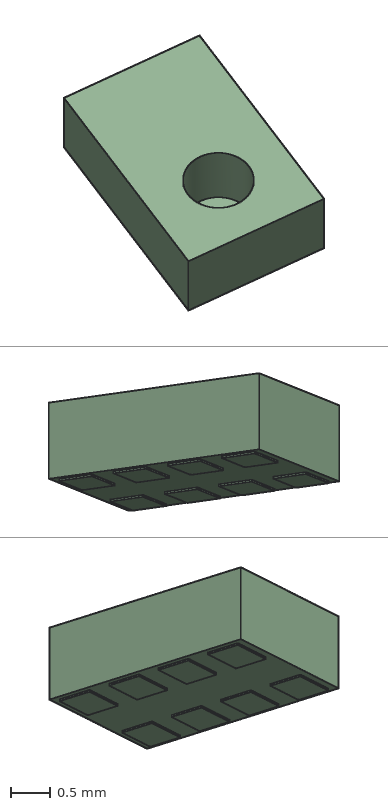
import cadquery as cq

length = 3.1
width = 2.0
body_height = 0.995

hole_diameter = 0.9
hole_offset_x = 0.608
hole_floor = 0.1
hole_depth = body_height - hole_floor

pad_length = 0.485
pad_width = 0.575
pad_thickness = 0.026
pads_per_row = 4
row_count = 2
pad_pitch = 0.8
row_spacing = 1.277


def make_body():
    """Block standing on Z = 0 with the blind hole in its top face."""
    return (
        cq.Workplane("XY")
        .box(length, width, body_height, centered=(True, True, False))
        .faces(">Z")
        .workplane()
        .center(hole_offset_x, 0)
        .hole(hole_diameter, hole_depth)
    )


def make_pads():
    """Thin rectangular pads hanging below Z = 0."""
    return (
        cq.Workplane("XY")
        .rarray(pad_pitch, row_spacing, pads_per_row, row_count)
        .rect(pad_length, pad_width)
        .extrude(-pad_thickness)
    )


result = make_body().union(make_pads())